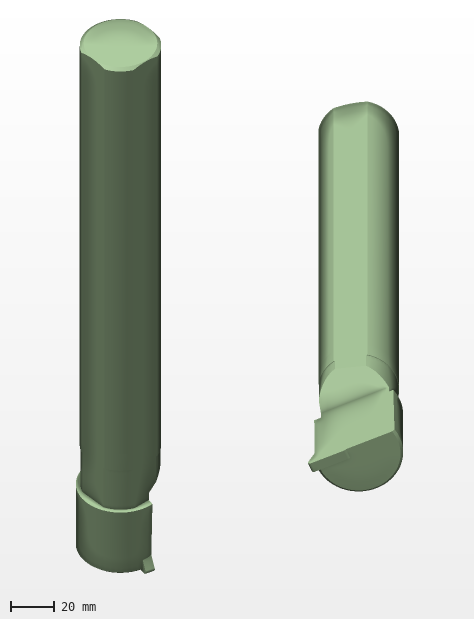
import cadquery as cq
import math

total_length = 304.8
joint_height = 72.0
neck_top = 62.0
collar_top = 38.0
head_bottom = 0.5

shank_radius = 19.0
neck_radius = 18.5
side_flat_offset = 17.0
right_flat_offset = 17.5
end_chamfer_height = 1.2
end_chamfer_width = shank_radius - side_flat_offset

collar_radius = 20.7
collar_chamfer = 1.2

rake_offset = 4.5
rake_slope = 0.2
rake_lean = 0.025
ramp_start = 42.5
cut_depth = 36.5
cut_length = 122.0
cut_clearance = 15.2

insert_side = 22.0
insert_thickness = 5.0
insert_nose = 1.5
insert_reach = 24.0

into_head = cq.Vector(-rake_slope, -1, rake_lean).normalized()
along_face = cq.Vector(1, -rake_slope, 0).normalized()
rake_origin = cq.Vector(0, rake_offset, 0)


def flatted_bar(radius, bottom, top):
    """Round bar with flats on -Y, +Y and +X."""
    bar = cq.Workplane("XY").workplane(offset=bottom).circle(radius).extrude(top - bottom)
    envelope = (
        cq.Workplane("XY")
        .workplane(offset=bottom)
        .center((right_flat_offset - shank_radius) / 2, 0)
        .rect(right_flat_offset + shank_radius, 2 * side_flat_offset)
        .extrude(top - bottom)
    )
    return bar.intersect(envelope)


def make_shank():
    """Flatted bar whose free end is bevelled by a cone."""
    bevelled_bar = (
        cq.Workplane("XY")
        .workplane(offset=joint_height)
        .circle(shank_radius)
        .extrude(total_length - joint_height)
        .faces(">Z")
        .chamfer(end_chamfer_height, end_chamfer_width)
    )
    return bevelled_bar.intersect(flatted_bar(shank_radius, joint_height, total_length))


def make_insert():
    """Equilateral plate with rounded corners, flush with the rake face."""
    corner_overhang = insert_nose * (math.sqrt(3) - 1)
    right_corner = insert_reach / along_face.x + corner_overhang
    left_corner = right_corner - insert_side
    apex = ((left_corner + right_corner) / 2, insert_side * math.sqrt(3) / 2)
    return (
        cq.Workplane(cq.Plane(rake_origin, along_face, into_head))
        .polyline([(left_corner, 0), (right_corner, 0), apex])
        .close()
        .extrude(insert_thickness)
        .edges(cq.selectors.ParallelDirSelector(into_head))
        .fillet(insert_nose)
    )


def make_rake_cut():
    """Material removed in front of the rake face, with its run-out ramp."""
    return (
        cq.Workplane(cq.Plane(rake_origin, into_head, along_face * -1))
        .moveTo(0, -cut_clearance)
        .lineTo(0, ramp_start)
        .lineTo(-cut_depth, ramp_start + cut_depth)
        .lineTo(-cut_depth, -cut_clearance)
        .close()
        .extrude(cut_length / 2, both=True)
    )


def make_head(insert):
    """Spigot, neck and collar, with the rake cut and the insert's pocket."""
    spigot = flatted_bar(shank_radius, neck_top, joint_height)
    neck = flatted_bar(neck_radius, collar_top, neck_top)
    collar = (
        cq.Workplane("XY")
        .workplane(offset=head_bottom)
        .circle(collar_radius)
        .extrude(collar_top - head_bottom)
        .faces("<Z")
        .chamfer(collar_chamfer)
    )
    return spigot.union(neck).union(collar).cut(make_rake_cut()).cut(insert)


shank = make_shank()
insert = make_insert()
head = make_head(insert)

result = cq.Compound.makeCompound([body.solids().val() for body in (shank, head, insert)])